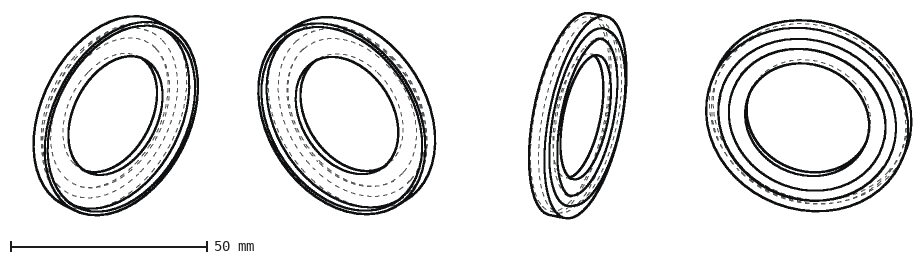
import cadquery as cq
import math

outer_radius = 26.25
bore_radius = 16.1
rim_width = 4.3
overall_width = 5.8
web_thickness = 2.07
rim_wall = 1.0

bead_outer_radius = 23.1
bead_inner_radius = 20.35
bead_wall_height = 0.3
crown_half_width = 1.25

land_slope = math.radians(1.0)
land_rise = (bead_inner_radius - bore_radius) * math.tan(land_slope)

bead_mid_radius = (bead_outer_radius + bead_inner_radius) / 2
crown_outer_radius = bead_mid_radius + crown_half_width
crown_inner_radius = bead_mid_radius - crown_half_width
recess_radius = outer_radius - rim_wall

front_face_x = 0.0
recess_floor_x = front_face_x + web_thickness
back_face_x = front_face_x + rim_width
bead_crest_x = back_face_x - overall_width
crown_base_x = front_face_x - bead_wall_height


def ring_section():
    """Half section of the ring in the XZ plane, with Z as the radius."""
    return (
        cq.Workplane("XZ")
        .moveTo(recess_floor_x, bore_radius)
        .lineTo(recess_floor_x, recess_radius)
        .lineTo(back_face_x, recess_radius)
        .lineTo(back_face_x, outer_radius)
        .lineTo(front_face_x, outer_radius)
        .lineTo(front_face_x, bead_outer_radius)
        .lineTo(crown_base_x, crown_outer_radius)
        .threePointArc((bead_crest_x, bead_mid_radius), (crown_base_x, crown_inner_radius))
        .lineTo(front_face_x, bead_inner_radius)
        .lineTo(front_face_x - land_rise, bore_radius)
        .close()
    )


result = ring_section().revolve(360, (0, 0, 0), (1, 0, 0))